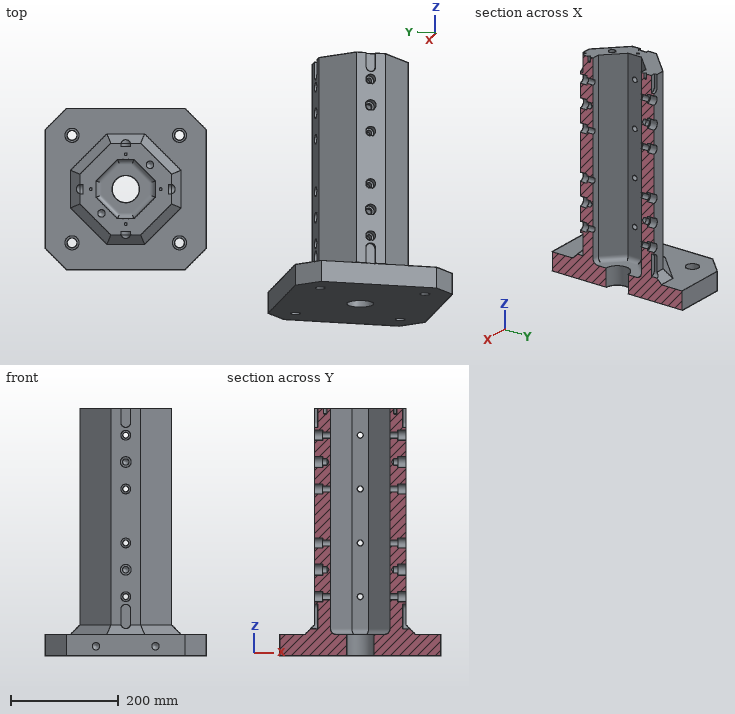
import cadquery as cq
import math

BASE_SIDE = 300.0
BASE_THICK = 40.0
BASE_CORNER_CUT = 40.0
TOTAL_HEIGHT = 460.0

BOLT_OFFSET = 100.0
BOLT_DIA = 18.0
BOLT_BORE_DIA = 26.0
BOLT_BORE_DEPTH = 25.0

EDGE_HOLE_OFFSET = 55.0
EDGE_HOLE_HEIGHT = 18.0
EDGE_HOLE_DEPTH = 25.0

COLUMN_ACROSS = 170.0
COLUMN_DIAGONAL = 159.5
FLARE = 17.5
FLARE_ANGLE = 45.0

BORE_ACROSS = 110.0
BORE_DIAGONAL = 99.5
BORE_FLOOR = BASE_THICK
BORE_FLOOR_RADIUS = 10.0
CENTER_HOLE_DIA = 50.0

THROUGH_HEIGHTS = (110.0, 209.8, 310.0, 410.0)
THROUGH_DIA = 10.5
THROUGH_BORE_DIA = 18.0
THROUGH_BORE_DEPTH = 15.0
THROUGH_DEPTH = 40.0
BLIND_HEIGHTS = (160.0, 360.0)
BLIND_DIA = 12.0
BLIND_BORE_DIA = 20.0
BLIND_BORE_DEPTH = 15.0
BLIND_DEPTH = 23.0

SLOT_WIDTH = 18.0
SLOT_DEPTH = 6.0
LOWER_SLOT_CENTERS = (60.0, 87.0)
UPPER_SLOT_CENTER = 433.5

TAPPED_DIA = 14.0
TAPPED_OFFSET = 45.0
TAPPED_DEPTH = 30.0
PIN_DIA = 5.0
PIN_RADIUS = 65.0
PIN_DEPTH = 10.0

DRILL_POINT_ANGLE = 118.0
FACE_ANGLES = (0, 90, 180, 270)

COLUMN_FACE = COLUMN_ACROSS / 2
COLUMN_AXIS = ((0, 0, 0), (0, 0, 1))
VERTICAL = cq.Vector(0, 0, 1)
INTO_FRONT = cq.Vector(0, 1, 0)


def octagon(across, diagonal, z):
    """Octagon wire with separate widths across its straight and diagonal flats."""
    half = across / 2
    half_flat = diagonal / math.sqrt(2) - half
    points = [
        (half, -half_flat), (half, half_flat), (half_flat, half), (-half_flat, half),
        (-half, half_flat), (-half, -half_flat), (-half_flat, -half), (half_flat, -half),
    ]
    return cq.Workplane("XY", origin=(0, 0, z)).polyline(points).close()


def cylinder(start, direction, dia, depth):
    return cq.Workplane(obj=cq.Solid.makeCylinder(dia / 2, depth, cq.Vector(*start), direction))


def drilled(start, direction, dia, depth):
    """Blind hole with a conical drill point beyond its full-diameter depth."""
    point_length = dia / 2 / math.tan(math.radians(DRILL_POINT_ANGLE / 2))
    point_start = cq.Vector(*start) + direction * depth
    point = cq.Solid.makeCone(dia / 2, 0, point_length, point_start, direction)
    return cylinder(start, direction, dia, depth).union(cq.Workplane(obj=point))


def key_slot(low_center, high_center):
    """Round-ended vertical slot in the front face, open outwards through the flare."""
    length = high_center - low_center + SLOT_WIDTH
    middle = (low_center + high_center) / 2
    slot_floor = COLUMN_FACE - SLOT_DEPTH
    profile = cq.Workplane("XZ", origin=(0, -slot_floor, middle)).slot2D(length, SLOT_WIDTH, 90)
    return profile.extrude(SLOT_DEPTH + FLARE)


def make_base():
    plate = cq.Workplane("XY").rect(BASE_SIDE, BASE_SIDE).extrude(BASE_THICK)
    plate = plate.edges("|Z").chamfer(BASE_CORNER_CUT)
    plate = (
        plate.faces(">Z").workplane()
        .rect(2 * BOLT_OFFSET, 2 * BOLT_OFFSET, forConstruction=True).vertices()
        .cboreHole(BOLT_DIA, BOLT_BORE_DIA, BOLT_BORE_DEPTH)
    )
    for x in (-EDGE_HOLE_OFFSET, EDGE_HOLE_OFFSET):
        start = (x, -BASE_SIDE / 2, EDGE_HOLE_HEIGHT)
        plate = plate.cut(drilled(start, INTO_FRONT, TAPPED_DIA, EDGE_HOLE_DEPTH))
    return plate


def make_column():
    column = octagon(COLUMN_ACROSS, COLUMN_DIAGONAL, BASE_THICK).extrude(TOTAL_HEIGHT - BASE_THICK)
    foot = octagon(COLUMN_ACROSS + 2 * FLARE, COLUMN_DIAGONAL + 2 * FLARE, BASE_THICK)
    foot = foot.extrude(FLARE, taper=FLARE_ANGLE)
    return column.union(foot)


def make_bore():
    bore = octagon(BORE_ACROSS, BORE_DIAGONAL, BORE_FLOOR).extrude(TOTAL_HEIGHT - BORE_FLOOR)
    bore = bore.faces("<Z").edges().fillet(BORE_FLOOR_RADIUS)
    return bore.union(cylinder((0, 0, 0), VERTICAL, CENTER_HOLE_DIA, TOTAL_HEIGHT))


def make_face_cuts():
    """Holes and key slots of the front column face."""
    cuts = key_slot(*LOWER_SLOT_CENTERS)
    cuts = cuts.union(key_slot(UPPER_SLOT_CENTER, TOTAL_HEIGHT + SLOT_WIDTH))
    for z in THROUGH_HEIGHTS:
        start = (0, -COLUMN_FACE, z)
        cuts = cuts.union(cylinder(start, INTO_FRONT, THROUGH_BORE_DIA, THROUGH_BORE_DEPTH))
        cuts = cuts.union(cylinder(start, INTO_FRONT, THROUGH_DIA, THROUGH_DEPTH))
    for z in BLIND_HEIGHTS:
        start = (0, -COLUMN_FACE, z)
        cuts = cuts.union(cylinder(start, INTO_FRONT, BLIND_BORE_DIA, BLIND_BORE_DEPTH))
        cuts = cuts.union(drilled(start, INTO_FRONT, BLIND_DIA, BLIND_DEPTH))
    return cuts


def cut_top_holes(body):
    for offset in (-TAPPED_OFFSET, TAPPED_OFFSET):
        start = (offset, offset, TOTAL_HEIGHT)
        body = body.cut(drilled(start, -VERTICAL, TAPPED_DIA, TAPPED_DEPTH))
    pin_hole = drilled((0, -PIN_RADIUS, TOTAL_HEIGHT), -VERTICAL, PIN_DIA, PIN_DEPTH)
    for angle in FACE_ANGLES:
        body = body.cut(pin_hole.rotate(*COLUMN_AXIS, angle))
    return body


body = make_base().union(make_column()).cut(make_bore())
face_cuts = make_face_cuts()
for face_angle in FACE_ANGLES:
    body = body.cut(face_cuts.rotate(*COLUMN_AXIS, face_angle))
result = cut_top_holes(body)